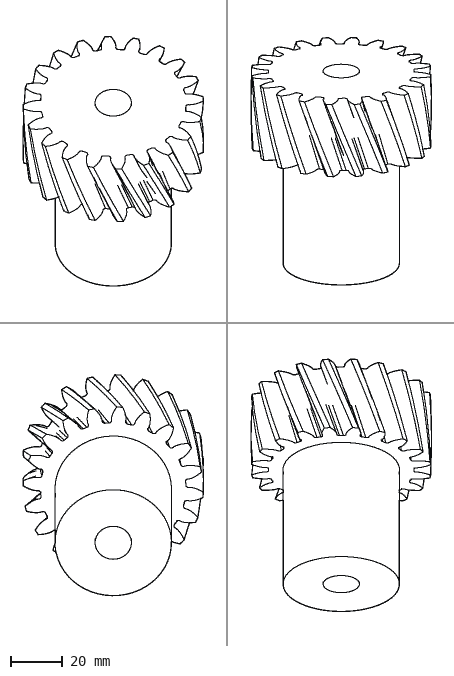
import cadquery as cq
import math

TOTAL_HEIGHT = 80.0
GEAR_HEIGHT = 30.0
HUB_DIAMETER = 45.0
BORE_DIAMETER = 14.0

TOOTH_COUNT = 20
CIRCULAR_PITCH = 10.0
HELIX_ANGLE = math.radians(19.53)
NORMAL_PRESSURE_ANGLE = math.radians(20)
DEDENDUM_FACTOR = 1.25
ROOT_FILLET = 1.0
INVOLUTE_POINTS = 6

hub_height = TOTAL_HEIGHT - GEAR_HEIGHT
module = CIRCULAR_PITCH * math.cos(HELIX_ANGLE) / math.pi
pitch_radius = TOOTH_COUNT * CIRCULAR_PITCH / (2 * math.pi)
tip_radius = pitch_radius + module
root_radius = pitch_radius - DEDENDUM_FACTOR * module
pressure_angle = math.atan(math.tan(NORMAL_PRESSURE_ANGLE) / math.cos(HELIX_ANGLE))
base_radius = pitch_radius * math.cos(pressure_angle)
tooth_angle = 2 * math.pi / TOOTH_COUNT
twist_degrees = -math.degrees(GEAR_HEIGHT * math.tan(HELIX_ANGLE) / pitch_radius)


def polar(radius, angle):
    return (radius * math.cos(angle), radius * math.sin(angle))


def involute(roll_angle):
    return math.tan(roll_angle) - roll_angle


def gap_half_angle(radius):
    """Half the angle of the space between two teeth; the flank is radial below the base circle."""
    angle_at_base = tooth_angle / 4 - involute(pressure_angle)
    if radius <= base_radius:
        return angle_at_base
    return angle_at_base + involute(math.acos(base_radius / radius))


def flank_radii(foot_radius):
    """Radii from flank foot to tip, closer together near the base circle where the curve is tight."""
    steps = [i / (INVOLUTE_POINTS - 1) for i in range(INVOLUTE_POINTS)]
    return [foot_radius] + [base_radius + (tip_radius - base_radius) * step ** 2 for step in steps]


def tooth_outline():
    """Closed outline of all the teeth, with a tooth space centred on the X axis."""
    base_angle = gap_half_angle(base_radius)

    fillet_centre_radius = root_radius + ROOT_FILLET
    floor_angle = base_angle - math.asin(ROOT_FILLET / fillet_centre_radius)
    foot_radius = math.sqrt(fillet_centre_radius ** 2 - ROOT_FILLET ** 2)
    radii = flank_radii(foot_radius)

    centre_x, centre_y = polar(fillet_centre_radius, floor_angle)
    towards_axis = floor_angle + math.pi
    towards_flank = base_angle + math.pi / 2
    offset_x, offset_y = polar(ROOT_FILLET, (towards_axis + towards_flank) / 2)
    middle_radius = math.hypot(centre_x + offset_x, centre_y + offset_y)
    middle_angle = math.atan2(centre_y + offset_y, centre_x + offset_x)

    outline = cq.Workplane("XY").moveTo(*polar(root_radius, -floor_angle))
    for tooth in range(TOOTH_COUNT):
        gap = tooth * tooth_angle
        next_gap = gap + tooth_angle
        rising = [polar(r, gap + gap_half_angle(r)) for r in radii]
        falling = [polar(r, next_gap - gap_half_angle(r)) for r in reversed(radii)]
        outline = (
            outline
            .threePointArc(polar(root_radius, gap), polar(root_radius, gap + floor_angle))
            .threePointArc(polar(middle_radius, gap + middle_angle), rising[0])
            .spline(rising[1:], includeCurrent=True)
            .threePointArc(polar(tip_radius, gap + tooth_angle / 2), falling[0])
            .spline(falling[1:], includeCurrent=True)
            .threePointArc(
                polar(middle_radius, next_gap - middle_angle),
                polar(root_radius, next_gap - floor_angle),
            )
        )
    return outline.close()


hub = cq.Workplane("XY").circle(HUB_DIAMETER / 2).extrude(hub_height)
gear = tooth_outline().twistExtrude(GEAR_HEIGHT, twist_degrees).translate((0, 0, hub_height))
bore = cq.Workplane("XY").circle(BORE_DIAMETER / 2).extrude(TOTAL_HEIGHT)

result = gear.union(hub).cut(bore)